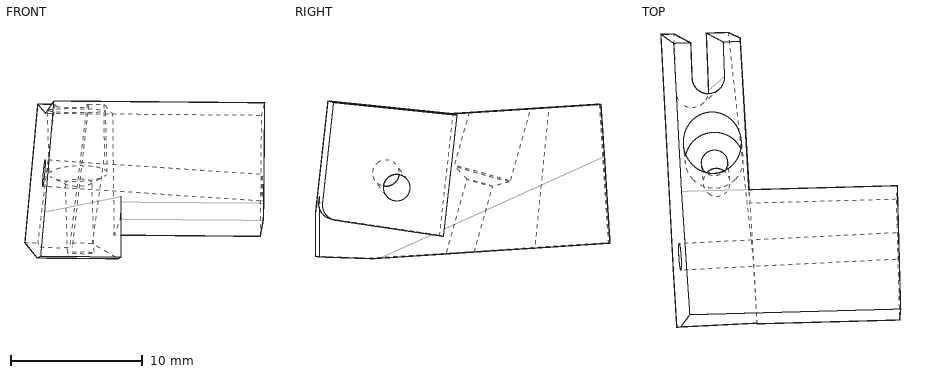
import cadquery as cq
import math

LENGTH_X = 18.18
LENGTH_Y = 22.35
RUN_Y = 0.027
RUN_Z = -0.0085
FRONT_LEAN = 0.109
MARGIN = 13.4

TOP_FRONT = (0.83, 12.0)
VALLEY = (10.19, 11.04)
TOP_FAR = (21.42, 11.75)
BOTTOM_FAR = (22.15, 1.23)
KEEL = (4.09, 0.07)
TOE_Z = 0.22
BODY_BOTTOM_FRONT_Z = 3.25
BODY_BOTTOM_BACK = (9.15, 1.85)
BODY_EDGE_RADIUS = 1.18

LEFT_NORMAL = (1, 0.0585, -0.0893)
LEFT_POINT = (0, 22.18, 1.23)
END_NORMAL = (1, 0.0255, -0.012)
END_POINT = (LENGTH_X, 1.39, 11.85)
PLATE_RIGHT_NORMAL = (1, 0.057, 0.006)
PLATE_RIGHT_POINT = (7.3, 0, 2.68)
TOE_NORMAL = (0.05, -1, 0)
TOE_POINT = (1.2, -0.07, 0)
RELIEF_TOP = cq.Vector(6.08, 21.75, 8.05)
RELIEF_FAR = cq.Vector(5.12, 22.32, 1.16)
RELIEF_NEAR = cq.Vector(7.13, 4.09, 0)

HOLE_DIAMETER = 2.0
COUNTERBORE_DIAMETER = 4.4
COUNTERBORE_DEPTH = 5.03
DRILL_POINT_ANGLE = 118.0
SCREW_POINT = (3.9, 13.95, 11.3)
SCREW_DIRECTION = (0.03, -0.28, -1)
CROSS_HOLE_POINT = (0.9, 5.25, 6.55)
CROSS_HOLE_DIRECTION = (1, 0.05, -0.067)
SLOT_WIDTH = 2.44
SLOT_POINT = (3.62, 18.88, 11.62)
SLOT_DOWN = (-0.115, -0.1, -1)
SLOT_ALONG = (-0.057, 1, -0.0934)


def front_y(z):
    """Y of the leaning front face in the plane X = 0."""
    return TOP_FRONT[0] - (TOP_FRONT[1] - z) * FRONT_LEAN


def skewed_prism(corners):
    """Sweep a YZ section along the skewed X direction, with spare length at both ends."""
    start = -MARGIN
    length = LENGTH_X + 2 * MARGIN
    points = [cq.Vector(start, y + RUN_Y * start, z + RUN_Z * start) for y, z in corners]
    wire = cq.Wire.makePolygon(points, close=True)
    sweep = cq.Vector(length, length * RUN_Y, length * RUN_Z)
    return cq.Workplane(obj=cq.Solid.extrudeLinear(wire, [], sweep))


def beyond(point, normal):
    """Large block filling the side of a plane that its normal points to."""
    size = 4 * LENGTH_Y
    return cq.Workplane(cq.Plane(point, normal=normal)).rect(size, size).extrude(size)


def reverse(vector):
    return tuple(-value for value in vector)


def make_plate():
    """Bent plate whose arm runs toward +Y."""
    section = [TOP_FRONT, VALLEY, TOP_FAR, BOTTOM_FAR, KEEL, (front_y(TOE_Z), TOE_Z)]
    relief_normal = (RELIEF_FAR - RELIEF_NEAR).cross(RELIEF_TOP - RELIEF_NEAR)
    return (
        skewed_prism(section)
        .cut(beyond(PLATE_RIGHT_POINT, PLATE_RIGHT_NORMAL))
        .cut(beyond(RELIEF_NEAR.toTuple(), relief_normal.toTuple()))
    )


def make_body():
    """Block running toward +X, rounded along its lower front edge."""
    corner = (front_y(BODY_BOTTOM_FRONT_Z), BODY_BOTTOM_FRONT_Z)
    section = [TOP_FRONT, VALLEY, BODY_BOTTOM_BACK, corner]
    middle_x = LENGTH_X / 2
    edge_point = (middle_x, corner[0] + RUN_Y * middle_x, corner[1] + RUN_Z * middle_x)
    return (
        skewed_prism(section)
        .edges(cq.NearestToPointSelector(edge_point))
        .fillet(BODY_EDGE_RADIUS)
        .cut(beyond(END_POINT, END_NORMAL))
    )


def make_toe_trim():
    """Space in front of the toe face, kept clear of the body beyond the plate."""
    return beyond(TOE_POINT, TOE_NORMAL).cut(beyond(PLATE_RIGHT_POINT, PLATE_RIGHT_NORMAL))


def make_screw_hole():
    """Tilted through hole with a deep counterbore and a conical seat."""
    bore_radius = COUNTERBORE_DIAMETER / 2
    hole_radius = HOLE_DIAMETER / 2
    cone_depth = (bore_radius - hole_radius) / math.tan(math.radians(DRILL_POINT_ANGLE / 2))
    seat = COUNTERBORE_DEPTH + cone_depth
    entry = -bore_radius
    profile = [
        (0, entry),
        (bore_radius, entry),
        (bore_radius, COUNTERBORE_DEPTH),
        (hole_radius, seat),
        (hole_radius, LENGTH_Y),
        (0, LENGTH_Y),
    ]
    tool = cq.Workplane("XY").polyline(profile).close().revolve(360, (0, 0), (0, 1))
    tool = tool.rotate((0, 0, 0), (1, 0, 0), 90)
    plane = cq.Plane(SCREW_POINT, normal=SCREW_DIRECTION)
    return cq.Workplane(obj=tool.val().moved(cq.Location(plane)))


def make_cross_hole():
    """Hole entering the left face and running through the whole body."""
    plane = cq.Plane(CROSS_HOLE_POINT, normal=CROSS_HOLE_DIRECTION)
    return (
        cq.Workplane(plane)
        .circle(HOLE_DIAMETER / 2)
        .extrude(2 * LENGTH_X, both=True)
    )


def make_slot():
    """Tilted slot through the arm, open at the far end and round at the inner end."""
    plane = cq.Plane(SLOT_POINT, xDir=SLOT_ALONG, normal=SLOT_DOWN)
    radius = SLOT_WIDTH / 2
    return (
        cq.Workplane(plane)
        .moveTo(MARGIN, radius)
        .lineTo(0, radius)
        .threePointArc((-radius, 0), (0, -radius))
        .lineTo(MARGIN, -radius)
        .close()
        .extrude(LENGTH_Y, both=True)
    )


result = (
    make_plate()
    .union(make_body())
    .cut(beyond(LEFT_POINT, reverse(LEFT_NORMAL)))
    .cut(make_toe_trim())
    .cut(make_screw_hole())
    .cut(make_cross_hole())
    .cut(make_slot())
)